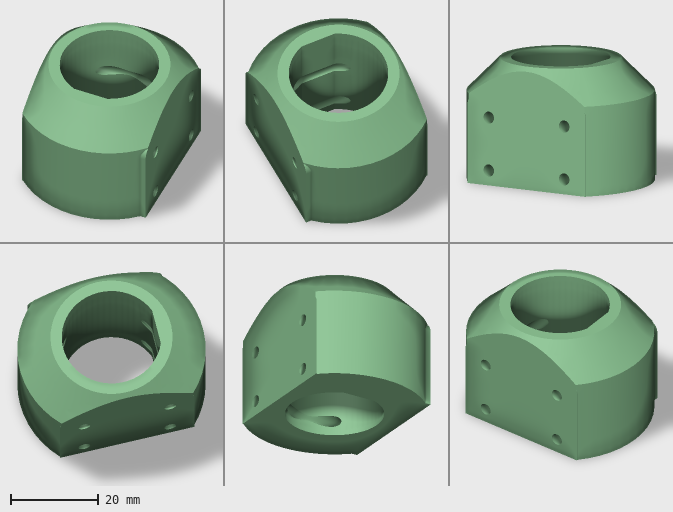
import cadquery as cq

body_radius = 21.6
top_radius = 14.0
height = 28.6
shoulder_z = height - (body_radius - top_radius)

left_x = -15.0
right_x = 16.0
side_width = right_x - left_x
plate_length = 31.7
plate_corner_radius = 2.5

bore_radius = 11.4
bore_flat_y = -10.6

hole_diameter = 2.8
hole_spacing_y = 20.3
hole_rows_z = (3.5, 15.85)


def make_block(length, block_height):
    """Block spanning both flat sides, standing on the base plane."""
    return (
        cq.Workplane("XY")
        .box(side_width, length, block_height, centered=(False, True, False))
        .translate((left_x, 0, 0))
    )


def make_body():
    """Coned cylinder trimmed by the two flat sides."""
    cylinder = cq.Workplane("XY").circle(body_radius).extrude(height)
    coned = cylinder.faces(">Z").chamfer(body_radius - top_radius)
    return coned.intersect(make_block(2 * body_radius, height))


def make_side_plates():
    """Block with rounded upper ends whose corners stand proud of the cylinder."""
    block = make_block(plate_length, shoulder_z)
    return block.faces(">Z").edges("|X").fillet(plate_corner_radius)


def make_bore():
    """Round through bore cut short by a flat on the -Y side."""
    bore = cq.Workplane("XY").circle(bore_radius).extrude(height)
    keep = (
        cq.Workplane("XY")
        .box(2 * bore_radius, 2 * bore_radius, height, centered=(True, False, False))
        .translate((0, bore_flat_y, 0))
    )
    return bore.intersect(keep)


def make_mounting_holes():
    """Four cylinders running along X from one flat side to the other."""
    centers = [(side * hole_spacing_y / 2, z) for side in (-1, 1) for z in hole_rows_z]
    return (
        cq.Workplane("YZ", origin=(left_x, 0, 0))
        .pushPoints(centers)
        .circle(hole_diameter / 2)
        .extrude(side_width)
    )


result = make_body().union(make_side_plates()).cut(make_bore()).cut(make_mounting_holes())